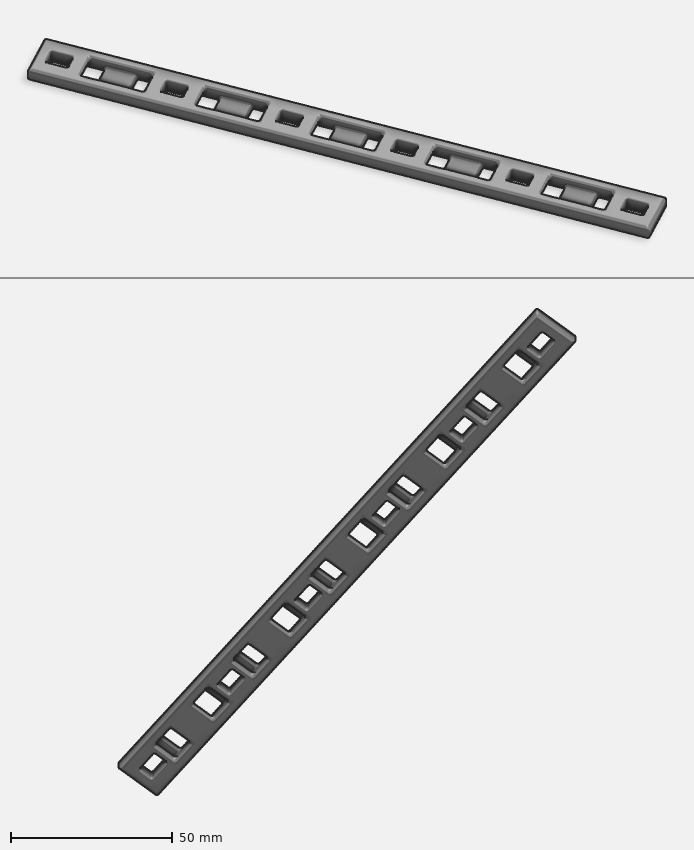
import cadquery as cq
import math

LENGTH = 205.5
WIDTH = 15.8
HEIGHT = 5.1
EDGE_RADIUS = 1.6
CORNER_RADIUS = 0.6

PITCH = 38.0
SLOT_COUNT = 6
WINDOW_COUNT = SLOT_COUNT - 1

SLOT_LENGTH = 7.5
SLOT_WIDTH = 5.1
SLOT_CORNER_RADIUS = 0.6
SLOT_RIM_RADIUS = 0.6
SLOT_DRAFT = 1.0

WINDOW_LENGTH = 21.0
WINDOW_WIDTH = 8.2
LIP_OVERHANG = 2.7
LOWER_LENGTH = WINDOW_LENGTH + 2 * LIP_OVERHANG
ROUNDING = 1.2
INNER_CORNER_RADIUS = 1.0

BRIDGE_LENGTH = 10.9

TOP = HEIGHT / 2
SLOT_FLARE = TOP * math.tan(math.radians(SLOT_DRAFT))

MARGIN = 0.02
ALONG_X = cq.selectors.ParallelDirSelector(cq.Vector(1, 0, 0))
ALONG_Y = cq.selectors.ParallelDirSelector(cq.Vector(0, 1, 0))


def stations(count):
    """Evenly pitched X positions centred on the bar."""
    return [(i - (count - 1) / 2) * PITCH for i in range(count)]


def block(x, length, width, bottom, top):
    """Box centred on the bar at x, between two heights."""
    base = cq.Workplane("XY", origin=(x, 0, bottom))
    return base.rect(length, width).extrude(top - bottom)


def box_zone(x, half_x, y_min, y_max, half_z):
    """Selector for edges lying wholly inside a box."""
    return cq.selectors.BoxSelector(
        (x - half_x - MARGIN, y_min - MARGIN, -half_z - MARGIN),
        (x + half_x + MARGIN, y_max + MARGIN, half_z + MARGIN),
        boundingbox=True,
    )


def make_bar():
    """Bar with rounded long and end edges, then rounded corners."""
    bar = block(0, LENGTH, WIDTH, -TOP, TOP)
    bar = bar.faces("<Z or >Z").edges().fillet(EDGE_RADIUS)
    return bar.edges("not(|X or |Y)").fillet(CORNER_RADIUS)


def cut_slot(bar, x):
    """Cut a slot that narrows slightly to a waist at mid height, then round both rims."""
    waist = cq.Sketch().rect(SLOT_LENGTH, SLOT_WIDTH).vertices().fillet(SLOT_CORNER_RADIUS)
    plane = cq.Workplane("XY", origin=(x, 0, 0)).placeSketch(waist)
    for height in (TOP, -TOP):
        bar = bar.cut(plane.extrude(height, taper=-SLOT_DRAFT))
    half_length = SLOT_LENGTH / 2 + SLOT_FLARE
    half_width = SLOT_WIDTH / 2 + SLOT_FLARE
    rims = box_zone(x, half_length, -half_width, half_width, TOP)
    return bar.faces("<Z or >Z").edges(rims).fillet(SLOT_RIM_RADIUS)


def shape_window(plate):
    """Cut one window, with its bridge and lips, into the middle of a plate."""
    half_width = WINDOW_WIDTH / 2
    void = block(0, WINDOW_LENGTH, WINDOW_WIDTH, 0, TOP)
    void = void.union(block(0, LOWER_LENGTH, WINDOW_WIDTH, -TOP, 0))
    void = void.cut(block(0, BRIDGE_LENGTH, WINDOW_WIDTH, -TOP, 0))
    plate = plate.cut(void)

    rims = box_zone(0, LOWER_LENGTH / 2, -half_width, half_width, TOP)
    plate = plate.faces("<Z or >Z").edges(rims).fillet(ROUNDING)
    mid_edges = box_zone(0, WINDOW_LENGTH / 2, -half_width, half_width, 0)
    plate = plate.edges(mid_edges & ALONG_Y).fillet(ROUNDING)

    for y_min, y_max in ((half_width, half_width + ROUNDING), (-half_width - ROUNDING, -half_width)):
        corners = box_zone(0, LOWER_LENGTH / 2 + ROUNDING, y_min, y_max, TOP)
        seams = box_zone(0, LOWER_LENGTH / 2, y_min, y_max, 0)
        plate = plate.edges(corners - ALONG_X + seams).fillet(INNER_CORNER_RADIUS)
    return plate


def make_window_void():
    """Solid in the shape of the material removed for one window."""
    blank = block(0, PITCH, WIDTH, -TOP, TOP)
    return blank.cut(shape_window(blank))


result = make_bar()
for station in stations(SLOT_COUNT):
    result = cut_slot(result, station)
window_void = make_window_void()
for station in stations(WINDOW_COUNT):
    result = result.cut(window_void.translate((station, 0, 0)))